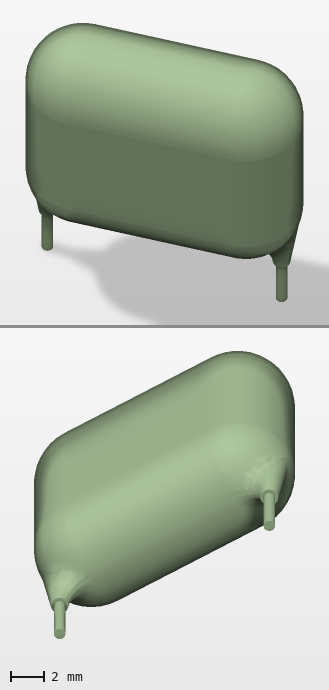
import cadquery as cq
import math

body_width = 17.02
body_thickness = 6.88
body_top = 20.35
body_bottom = 5.15
edge_radius = body_thickness / 2
corner_x = body_width / 2 - edge_radius
lower_corner_z = body_bottom + edge_radius
upper_corner_z = body_top - edge_radius
straight_width = 2 * corner_x
straight_height = upper_corner_z - lower_corner_z

lead_diameter = 0.7
lead_spacing = 14.54
lead_length = 3.58
lead_positions = [-lead_spacing / 2, lead_spacing / 2]

skirt_end_radius = 0.53
skirt_taper = math.radians(8)
skirt_blend_radius = 1.71
skirt_top = lower_corner_z - edge_radius * math.sin(skirt_taper)
skirt_height = skirt_top - lead_length
skirt_top_radius = skirt_end_radius + skirt_height * math.tan(skirt_taper)


def make_rounded_block():
    """Flat slab with half-round edges on all four sides and spherical corners."""
    block = cq.Workplane("XY", origin=(0, 0, lower_corner_z)).box(
        straight_width, body_thickness, straight_height, centered=(True, True, False)
    )
    for x in (-corner_x, corner_x):
        side = cq.Workplane("XY", origin=(x, 0, lower_corner_z)).circle(edge_radius).extrude(straight_height)
        block = block.union(side)
    for z in (lower_corner_z, upper_corner_z):
        end = cq.Workplane("YZ", origin=(-corner_x, 0, z)).circle(edge_radius).extrude(straight_width)
        block = block.union(end)
        for x in (-corner_x, corner_x):
            corner = cq.Workplane("XY", origin=(x, 0, z)).sphere(edge_radius)
            block = block.union(corner)
    return block


def make_skirt(x):
    """Cone that widens upward from the lead into the body corner."""
    base = cq.Vector(x, 0, lead_length)
    return cq.Workplane(cq.Solid.makeCone(skirt_end_radius, skirt_top_radius, skirt_height, base))


def make_body():
    """Rounded block with two skirts blended into its lower corners."""
    body = make_rounded_block()
    for x in lead_positions:
        body = body.union(make_skirt(x))
    return body.edges("%BSPLINE").fillet(skirt_blend_radius)


def make_lead(x):
    """Round wire below one skirt."""
    return cq.Workplane("XY", origin=(x, 0, 0)).circle(lead_diameter / 2).extrude(lead_length)


body = make_body()
leads = [make_lead(x) for x in lead_positions]

result = cq.Compound.makeCompound([body.solids().val(), *[lead.val() for lead in leads]])